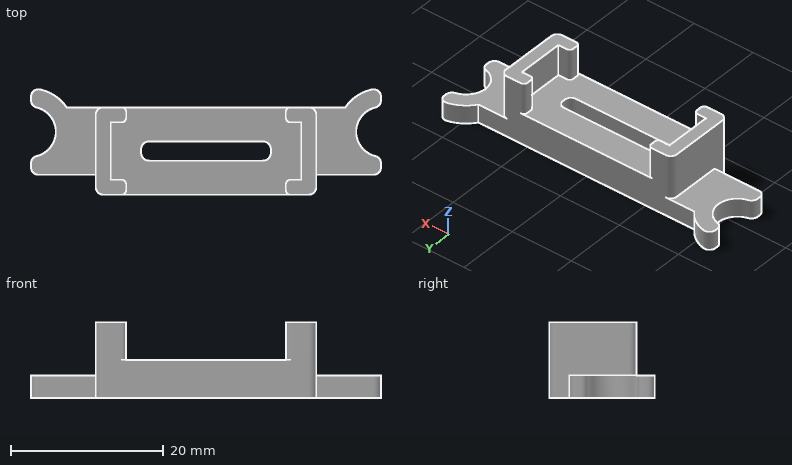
import cadquery as cq
import math

total_length = 46.0
total_height = 10.0

body_length = 29.0
body_width = 11.5
floor_height = 5.0
corner_radius = 1.0

wall = 2.0
prong_length = 4.0
prong_radius = 0.6

slot_length = 17.0
slot_width = 2.5
slot_corner_radius = 1.0

tab_height = 3.0
tab_front = 2.6
bite_center_y = 8.3
bite_radius = 3.25
hook_radius = 5.7
tip_radius = 1.0

half_length = total_length / 2


def make_body():
    block = (
        cq.Workplane("XY")
        .box(body_length, body_width, total_height, centered=(True, False, False))
        .edges("|Z")
        .fillet(corner_radius)
    )
    gap_length = body_length - 2 * prong_length
    gap = cq.Workplane("XY").box(
        gap_length, body_width, total_height, centered=(True, False, False)
    ).translate((0, 0, floor_height))
    pocket = cq.Workplane("XY").box(
        body_length - 2 * wall, body_width - 2 * wall, total_height, centered=(True, False, False)
    ).translate((0, wall, floor_height))
    prong_edges = cq.selectors.BoxSelector(
        (-gap_length / 2 - prong_radius, -prong_radius, floor_height),
        (gap_length / 2 + prong_radius, body_width + prong_radius, total_height),
    )
    return block.cut(gap).cut(pocket).edges("|Z").edges(prong_edges).fillet(prong_radius)


def make_left_tab():
    hook_rise = body_width - bite_center_y
    hook_end_x = -half_length + math.sqrt(hook_radius**2 - hook_rise**2)
    hook_mid_angle = (math.pi / 2 + math.asin(hook_rise / hook_radius)) / 2
    hook_mid = (
        -half_length + hook_radius * math.cos(hook_mid_angle),
        bite_center_y + hook_radius * math.sin(hook_mid_angle),
    )
    inner_end_x = -body_length / 2 + wall
    tab = (
        cq.Workplane("XY")
        .moveTo(-half_length, tab_front)
        .lineTo(inner_end_x, tab_front)
        .lineTo(inner_end_x, body_width)
        .lineTo(hook_end_x, body_width)
        .threePointArc(hook_mid, (-half_length, bite_center_y + hook_radius))
        .lineTo(-half_length, bite_center_y + bite_radius)
        .threePointArc(
            (-half_length + bite_radius, bite_center_y),
            (-half_length, bite_center_y - bite_radius),
        )
        .close()
        .extrude(tab_height)
    )
    return tab.edges("|Z").edges("<X").fillet(tip_radius)


def make_slot():
    return (
        cq.Workplane("XY")
        .center(0, body_width / 2)
        .rect(slot_length, slot_width)
        .extrude(floor_height)
        .edges("|Z")
        .fillet(slot_corner_radius)
    )


left_tab = make_left_tab()
right_tab = left_tab.mirror("YZ")
result = make_body().union(left_tab).union(right_tab).cut(make_slot())